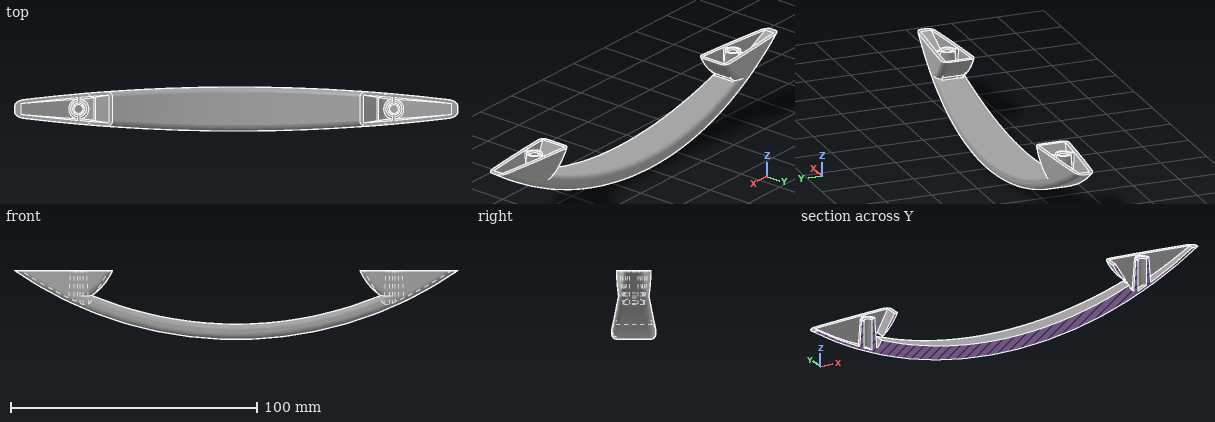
import cadquery as cq
import math

HALF_LENGTH = 89.94
RISE = 27.97
HALF_WIDTH_MIDDLE = 9.0
HALF_WIDTH_END = 3.4
SIDE_EDGE_RADIUS = 2.3

GRIP_THICKNESS = 6.2

FOOT_INNER_X = 50.2
FOOT_ROOT_X = 58.5
FOOT_FACE_BULGE = 0.9

TIP_WALL = 2.4
SIDE_WALL = 1.5
FLOOR_WALL = 1.4
INNER_WALL = 1.5
POCKET_DRAFT = 3.0
POCKET_ROOT_RADIUS = 3.0

SCREW_SPACING = 128.0
BOSS_DIAMETER = 6.4
BOSS_DRAFT = 4.0
BORE_DIAMETER = 3.6
COUNTERSINK_DIAMETER = 4.8
COUNTERSINK_ANGLE = 45.0
RIB_THICKNESS = 1.0

MESH_TOLERANCE = 0.01


def arc_radius(half_chord, sagitta):
    """Radius of the arc with the given half chord and sagitta."""
    return (half_chord**2 + sagitta**2) / (2 * sagitta)


OUTER_RADIUS = arc_radius(HALF_LENGTH, RISE)
INNER_RADIUS = OUTER_RADIUS - GRIP_THICKNESS
ARC_CENTER_Z = OUTER_RADIUS - RISE
SCREW_X = SCREW_SPACING / 2


def arc_z(radius, x):
    """Height at x of the bow arc with the given radius."""
    return ARC_CENTER_Z - math.sqrt(radius**2 - x**2)


def arc_x(radius, z):
    """Distance from the middle at which a bow arc reaches height z."""
    return math.sqrt(radius**2 - (ARC_CENTER_Z - z) ** 2)


def foot_face_middle():
    """Middle point of the bulging inner face of the left foot."""
    root_z = arc_z(INNER_RADIUS, FOOT_ROOT_X)
    run = FOOT_ROOT_X - FOOT_INNER_X
    length = math.hypot(run, root_z)
    x = -(FOOT_INNER_X + FOOT_ROOT_X) / 2 - FOOT_FACE_BULGE * root_z / length
    z = root_z / 2 - FOOT_FACE_BULGE * run / length
    return x, z


def make_side_profile():
    """Bowed grip and both feet, extruded across the full width."""
    root_z = arc_z(INNER_RADIUS, FOOT_ROOT_X)
    face_x, face_z = foot_face_middle()
    return (
        cq.Workplane("XZ")
        .moveTo(-HALF_LENGTH, 0)
        .threePointArc((0, -RISE), (HALF_LENGTH, 0))
        .lineTo(FOOT_INNER_X, 0)
        .threePointArc((-face_x, face_z), (FOOT_ROOT_X, root_z))
        .threePointArc((0, arc_z(INNER_RADIUS, 0)), (-FOOT_ROOT_X, root_z))
        .threePointArc((face_x, face_z), (-FOOT_INNER_X, 0))
        .close()
        .extrude(HALF_WIDTH_MIDDLE, both=True)
    )


def make_plan(inset_end=0.0, inset_side=0.0):
    """Lens-shaped plan outline, optionally shrunk at its ends and sides."""
    end_x = HALF_LENGTH - inset_end
    bulge_radius = arc_radius(HALF_LENGTH, HALF_WIDTH_MIDDLE - HALF_WIDTH_END)
    drop = bulge_radius - math.sqrt(bulge_radius**2 - end_x**2)
    middle_y = HALF_WIDTH_MIDDLE - inset_side
    end_y = middle_y - drop
    return (
        cq.Workplane("XY")
        .moveTo(-end_x, -end_y)
        .threePointArc((0, -middle_y), (end_x, -end_y))
        .lineTo(end_x, end_y)
        .threePointArc((0, middle_y), (-end_x, end_y))
        .close()
    )


def make_body():
    """Bowed solid with every edge running along its two sides rounded."""
    body = make_side_profile().intersect(make_plan().extrude(-RISE))
    return body.edges("%BSPLINE").fillet(SIDE_EDGE_RADIUS)


def make_pocket():
    """Tapered hollow of the left foot, following its floor and inner face."""
    floor_radius = OUTER_RADIUS - FLOOR_WALL
    root_x = FOOT_ROOT_X + INNER_WALL
    root_z = arc_z(floor_radius, root_x)
    face_x, face_z = foot_face_middle()
    tip_x = arc_x(floor_radius, 0)
    middle_x = (tip_x + root_x) / 2
    profile = (
        cq.Workplane("XZ")
        .moveTo(-tip_x, 0)
        .threePointArc((-middle_x, arc_z(floor_radius, middle_x)), (-root_x, root_z))
        .threePointArc((face_x - INNER_WALL, face_z), (-FOOT_INNER_X - INNER_WALL, 0))
        .close()
        .extrude(HALF_WIDTH_MIDDLE, both=True)
        .edges("|Y and <Z")
        .fillet(POCKET_ROOT_RADIUS)
    )
    walls = make_plan(TIP_WALL, SIDE_WALL).extrude(-RISE, taper=POCKET_DRAFT)
    return walls.intersect(profile)


def make_boss():
    """Drafted screw boss of the left foot, tied to the side walls by two ribs."""
    boss = cq.Workplane("XY").circle(BOSS_DIAMETER / 2).extrude(-RISE, taper=-BOSS_DRAFT)
    ribs = cq.Workplane("XY").rect(RIB_THICKNESS, 2 * HALF_WIDTH_MIDDLE).extrude(-RISE)
    bore = cq.Workplane("XY").circle(BORE_DIAMETER / 2).extrude(-RISE)
    sink_depth = (COUNTERSINK_DIAMETER - BORE_DIAMETER) / 2 / math.tan(math.radians(COUNTERSINK_ANGLE))
    sink_rim = cq.Workplane("XY").circle(COUNTERSINK_DIAMETER / 2)
    countersink = sink_rim.extrude(-sink_depth, taper=COUNTERSINK_ANGLE)
    return boss.union(ribs).cut(bore).cut(countersink).translate((-SCREW_X, 0, 0))


left_hollow = make_pocket().cut(make_boss())
right_hollow = left_hollow.mirror("YZ")
result = make_body().cut(left_hollow).cut(right_hollow)

result.val().mesh(MESH_TOLERANCE)